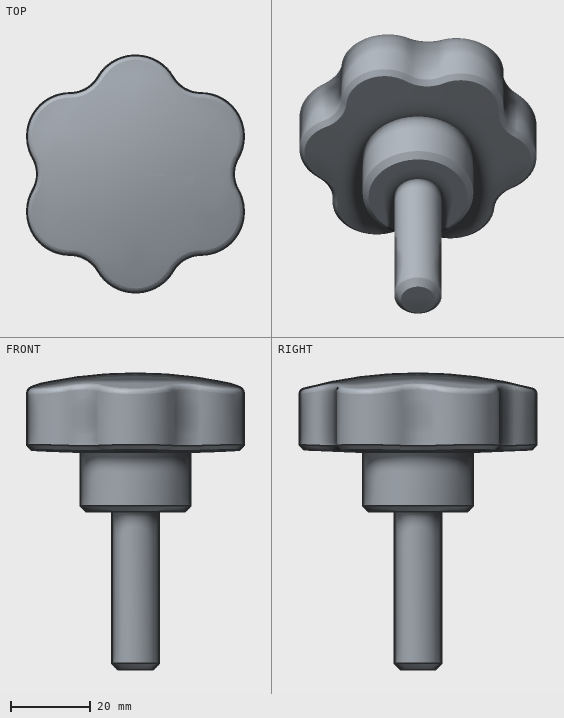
import cadquery as cq
import math

total_height = 75.0
hub_bottom = 40.0
head_bottom = 55.0

stud_diameter = 12.0
stud_chamfer = 1.65
hub_diameter = 28.0
hub_chamfer = 1.5

lobe_count = 6
head_diameter = 60.0
lobe_radius = 11.0
valley_radius = 8.2
lobe_center_radius = head_diameter / 2 - lobe_radius

crown_radius = 110.0
underside_radius = 500.0
rim_fillet = 1.5
rim_chamfer = 1.2


def polar(radius, angle):
    """Point at the given radius and angle (degrees) in the XY plane."""
    return (radius * math.cos(math.radians(angle)), radius * math.sin(math.radians(angle)))


def head_outline(height):
    """Prism of the lobed outline, with a lobe pointing along +Y."""
    half_pitch = 180 / lobe_count
    offset = lobe_center_radius * math.sin(math.radians(half_pitch))
    along = lobe_center_radius * math.cos(math.radians(half_pitch))
    center_distance = lobe_radius + valley_radius
    valley_center_radius = along + math.sqrt(center_distance**2 - offset**2)
    valley_depth_radius = valley_center_radius - valley_radius

    share = valley_radius / center_distance
    tangent_along = valley_center_radius + share * (along - valley_center_radius)
    tangent_offset = share * offset
    tangent_radius = math.hypot(tangent_along, tangent_offset)
    tangent_angle = math.degrees(math.atan2(tangent_offset, tangent_along))

    outline = cq.Workplane("XY").moveTo(*polar(tangent_radius, -tangent_angle))
    for index in range(lobe_count):
        valley_angle = index * 2 * half_pitch
        lobe_angle = valley_angle + half_pitch
        next_valley_angle = lobe_angle + half_pitch
        outline = outline.threePointArc(
            polar(valley_depth_radius, valley_angle),
            polar(tangent_radius, valley_angle + tangent_angle),
        )
        outline = outline.threePointArc(
            polar(head_diameter / 2, lobe_angle),
            polar(tangent_radius, next_valley_angle - tangent_angle),
        )
    return outline.close().extrude(height)


def make_head():
    """Lobed head between a domed crown and a slightly bulging underside."""
    crown = cq.Workplane("XY").sphere(crown_radius).translate((0, 0, total_height - crown_radius))
    underside_center = head_bottom + math.sqrt(underside_radius**2 - (hub_diameter / 2) ** 2)
    underside = cq.Workplane("XY").sphere(underside_radius).translate((0, 0, underside_center))
    head = head_outline(total_height).intersect(crown).intersect(underside)
    head = head.faces(">Z").edges().fillet(rim_fillet)
    return head.faces("<Z").edges().chamfer(rim_chamfer)


def make_pin(diameter, bottom, top, chamfer):
    """Upright cylinder with its lower edge chamfered."""
    pin = cq.Workplane("XY").workplane(offset=bottom).circle(diameter / 2).extrude(top - bottom)
    return pin.faces("<Z").chamfer(chamfer)


head_middle = (head_bottom + total_height) / 2
hub = make_pin(hub_diameter, hub_bottom, head_middle, hub_chamfer)
stud = make_pin(stud_diameter, 0, head_middle, stud_chamfer)
result = make_head().union(hub).union(stud)